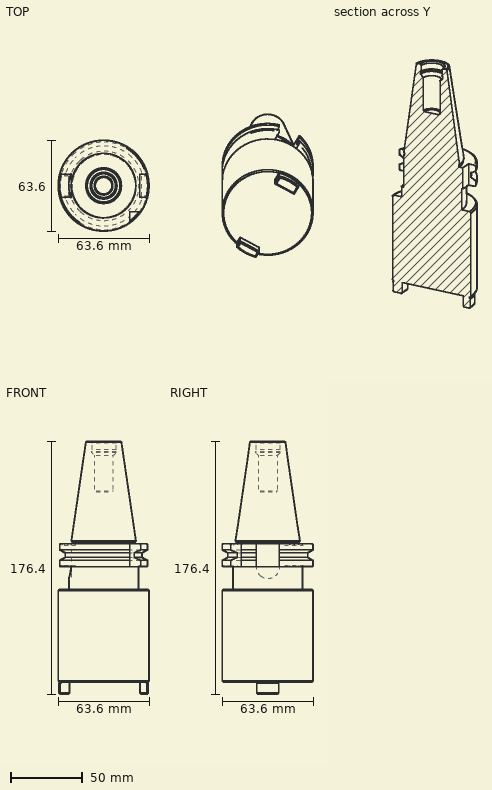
import cadquery as cq
import math

total_height = 176.4
body_bottom = 8.3
body_top = 73.2
flange_bottom = 88.9
flange_height = 16.0
taper_base_height = 107.0
flange_top = flange_bottom + flange_height

body_radius = 31.8
body_chamfer = 1.0
neck_radius = 24.3

flange_radius = 31.8
flange_edge_fillet = 1.0
groove_radius = 28.0
groove_mouth_width = 7.4
groove_flank_angle = 30.0

taper_base_radius = 22.5
taper_ratio = 7 / 24
taper_tip_chamfer = 1.0
taper_tip_chamfer_height = 0.5
relief_radius = 22.0
relief_cone_height = 1.0

bore_radius = 8.3
bore_mouth_chamfer = 1.0
bore_depth = 5.5
undercut_radius = 8.8
undercut_flare_height = 1.4
undercut_land = 0.7
thread_radius = 6.5
thread_floor_radius = 5.8
thread_depth = 35.3

slot_width = 16.2
slot_floor_left = 22.5
slot_floor_right = 25.0

notch_offset = 18.3

key_width = 15.5
key_outer_radius = 31.2
key_inner_left = 23.6
key_inner_right = 25.2
key_chamfer = 0.9


def revolve_profile(points):
    """Revolve a closed (radius, height) outline around Z."""
    return cq.Workplane("XZ").polyline(points).close().revolve(360, (0, 0), (0, 1))


def make_body():
    """Chamfered clamping body with the neck standing on it."""
    body_height = body_top - body_bottom
    body = cq.Workplane("XY", origin=(0, 0, body_bottom)).circle(body_radius).extrude(body_height)
    body = body.faces("<Z or >Z").edges().chamfer(body_chamfer)
    neck = cq.Workplane("XY", origin=(0, 0, body_top)).circle(neck_radius).extrude(flange_bottom - body_top)
    return body.union(neck)


def make_flange():
    """Gripper flange with a V-groove halfway up and rounded outer edges."""
    middle = flange_bottom + flange_height / 2
    groove_mouth = groove_mouth_width / 2
    flank_drop = (flange_radius - groove_radius) * math.tan(math.radians(groove_flank_angle))
    groove_floor = groove_mouth - flank_drop
    flange = revolve_profile([
        (0, flange_bottom),
        (flange_radius, flange_bottom),
        (flange_radius, middle - groove_mouth),
        (groove_radius, middle - groove_floor),
        (groove_radius, middle + groove_floor),
        (flange_radius, middle + groove_mouth),
        (flange_radius, flange_top),
        (0, flange_top),
    ])
    return flange.faces("<Z or >Z").edges().fillet(flange_edge_fillet)


def make_taper():
    """Tool taper above a short relief that separates it from the flange."""
    tip_radius = taper_base_radius - (total_height - taper_base_height) * taper_ratio / 2
    return revolve_profile([
        (0, flange_top),
        (relief_radius, flange_top),
        (relief_radius, taper_base_height - relief_cone_height),
        (taper_base_radius, taper_base_height),
        (tip_radius, total_height - taper_tip_chamfer_height),
        (tip_radius - taper_tip_chamfer, total_height),
        (0, total_height),
    ])


def make_drawbar_bore():
    """Counterbore with an undercut, then a cone into a blind thread bore with a coned floor edge."""
    flare_depth = bore_depth + undercut_flare_height
    land_depth = flare_depth + undercut_land
    cone_depth = land_depth + undercut_radius - thread_radius
    floor_cone_height = thread_radius - thread_floor_radius
    return revolve_profile([
        (0, total_height),
        (bore_radius + bore_mouth_chamfer, total_height),
        (bore_radius, total_height - bore_mouth_chamfer),
        (bore_radius, total_height - bore_depth),
        (undercut_radius, total_height - flare_depth),
        (undercut_radius, total_height - land_depth),
        (thread_radius, total_height - cone_depth),
        (thread_radius, total_height - thread_depth + floor_cone_height),
        (thread_floor_radius, total_height - thread_depth),
        (0, total_height - thread_depth),
    ])


def make_driving_slot(side, floor):
    """Round-ended slot cut across the flange on the given X side (-1 or +1)."""
    half_width = slot_width / 2
    outline = (
        cq.Workplane("YZ", origin=(side * floor, 0, 0))
        .moveTo(-half_width, flange_top)
        .lineTo(-half_width, flange_bottom)
        .threePointArc((0, flange_bottom - half_width), (half_width, flange_bottom))
        .lineTo(half_width, flange_top)
        .close()
    )
    return outline.extrude(side * flange_radius)


def make_corner_notch():
    """Square-cornered cut through the whole flange on the +X, -Y side."""
    return cq.Workplane("XY").box(
        flange_radius, flange_radius, flange_height, centered=False
    ).translate((notch_offset, -notch_offset - flange_radius, flange_bottom))


def make_drive_key(side, inner_distance):
    """Chamfered key below the body with a rounded outer face."""
    half_width = key_width / 2
    corner = math.sqrt(key_outer_radius ** 2 - half_width ** 2)
    outline = (
        cq.Workplane("XY")
        .moveTo(side * inner_distance, -half_width)
        .lineTo(side * corner, -half_width)
        .threePointArc((side * key_outer_radius, 0), (side * corner, half_width))
        .lineTo(side * inner_distance, half_width)
        .close()
    )
    outer_top_edge = cq.selectors.NearestToPointSelector((side * key_outer_radius, 0, body_bottom))
    key = outline.extrude(body_bottom)
    key = key.faces("<Z").edges().chamfer(key_chamfer)
    return key.edges(outer_top_edge).chamfer(key_chamfer)


result = (
    make_body()
    .union(make_flange())
    .union(make_taper())
    .cut(make_drawbar_bore())
    .cut(make_driving_slot(-1, slot_floor_left))
    .cut(make_driving_slot(1, slot_floor_right))
    .cut(make_corner_notch())
    .union(make_drive_key(-1, key_inner_left))
    .union(make_drive_key(1, key_inner_right))
)